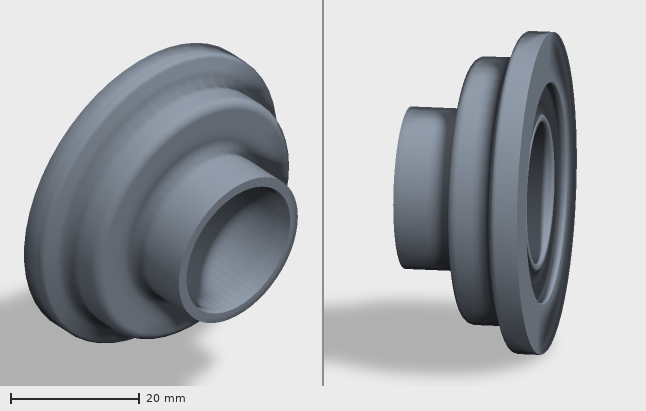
import cadquery as cq
import math


LENGTH = 22.0
FLANGE_RADIUS = 50.5 / 2
BODY_RADIUS = 42.0 / 2
NECK_RADIUS = 25.4 / 2
BORE_RADIUS = 22.1 / 2

FLANGE_RIM_WIDTH = 3.5
FLANGE_EDGE_ROUND = 0.8
CLAMP_ANGLE = math.radians(20)
BODY_END = 12.0
BODY_ROOT_ROUND = 2.0
BODY_EDGE_ROUND = 1.5
NECK_ROOT_ROUND = 1.7

RECESS_RADIUS = 34.4 / 2
RECESS_DEPTH = 1.5
RECESS_MOUTH_ROUND = 0.3
RECESS_FLOOR_ROUND = 0.3

LIP_SETBACK = 1.0
LIP_BORE_ROUND = 0.5

GROOVE_ARC_RADIUS = 1.8
GROOVE_CENTER_X = -0.12
GROOVE_CENTER_RADIUS = 13.45
GROOVE_OUTER_ROUND = 0.85
GROOVE_INNER_ROUND = 0.4


def groove_edge(flat_x, edge_round, side):
    """Ends of the round joining a flat ring at flat_x to the groove arc: on the flat, on the arc.

    The side is +1 for the outer edge of the groove and -1 for the inner edge.
    """
    center_distance = GROOVE_ARC_RADIUS + edge_round
    axial = flat_x + edge_round - GROOVE_CENTER_X
    radial = side * math.sqrt(center_distance**2 - axial**2)
    arc_share = GROOVE_ARC_RADIUS / center_distance
    on_flat = (flat_x, GROOVE_CENTER_RADIUS + radial)
    on_arc = (GROOVE_CENTER_X + arc_share * axial, GROOVE_CENTER_RADIUS + arc_share * radial)
    return on_flat, on_arc


def add_face(profile):
    """Continue the profile inward from the flange face through the recess, groove and lip to the bore."""
    outer_flat, outer_arc = groove_edge(RECESS_DEPTH, GROOVE_OUTER_ROUND, 1)
    inner_flat, inner_arc = groove_edge(LIP_SETBACK, GROOVE_INNER_ROUND, -1)
    return (
        profile
        .lineTo(0, RECESS_RADIUS + RECESS_MOUTH_ROUND)
        .tangentArcPoint((RECESS_MOUTH_ROUND, RECESS_RADIUS), relative=False)
        .lineTo(RECESS_DEPTH - RECESS_FLOOR_ROUND, RECESS_RADIUS)
        .tangentArcPoint((RECESS_DEPTH, RECESS_RADIUS - RECESS_FLOOR_ROUND), relative=False)
        .lineTo(*outer_flat)
        .tangentArcPoint(outer_arc, relative=False)
        .tangentArcPoint(inner_arc, relative=False)
        .tangentArcPoint(inner_flat, relative=False)
        .lineTo(LIP_SETBACK, BORE_RADIUS + LIP_BORE_ROUND)
        .tangentArcPoint((LIP_SETBACK + LIP_BORE_ROUND, BORE_RADIUS), relative=False)
    )


def add_neck(profile):
    """Continue the profile from the bore around the neck end and out to the body."""
    return (
        profile
        .lineTo(LENGTH, BORE_RADIUS)
        .lineTo(LENGTH, NECK_RADIUS)
        .lineTo(BODY_END + NECK_ROOT_ROUND, NECK_RADIUS)
        .tangentArcPoint((BODY_END, NECK_RADIUS + NECK_ROOT_ROUND), relative=False)
    )


def add_body_and_clamp_slope(profile):
    """Continue the profile over the body and up the sloped flange back to the rim."""
    axial_share = math.cos(CLAMP_ANGLE)
    radial_share = math.sin(CLAMP_ANGLE)
    slope_top_x = FLANGE_RIM_WIDTH + FLANGE_EDGE_ROUND * axial_share
    slope_top_radius = FLANGE_RADIUS - FLANGE_EDGE_ROUND * (1 - radial_share)
    slope_foot_radius = BODY_RADIUS + BODY_ROOT_ROUND * (1 - radial_share)
    slope_foot_x = slope_top_x + (slope_top_radius - slope_foot_radius) * math.tan(CLAMP_ANGLE)
    return (
        profile
        .lineTo(BODY_END, BODY_RADIUS - BODY_EDGE_ROUND)
        .tangentArcPoint((BODY_END - BODY_EDGE_ROUND, BODY_RADIUS), relative=False)
        .lineTo(slope_foot_x + BODY_ROOT_ROUND * axial_share, BODY_RADIUS)
        .tangentArcPoint((slope_foot_x, slope_foot_radius), relative=False)
        .lineTo(slope_top_x, slope_top_radius)
        .tangentArcPoint((FLANGE_RIM_WIDTH, FLANGE_RADIUS), relative=False)
    )


profile = cq.Workplane("XY").moveTo(0, FLANGE_RADIUS)
profile = add_face(profile)
profile = add_neck(profile)
profile = add_body_and_clamp_slope(profile)
result = profile.close().revolve(360, (0, 0, 0), (1, 0, 0))